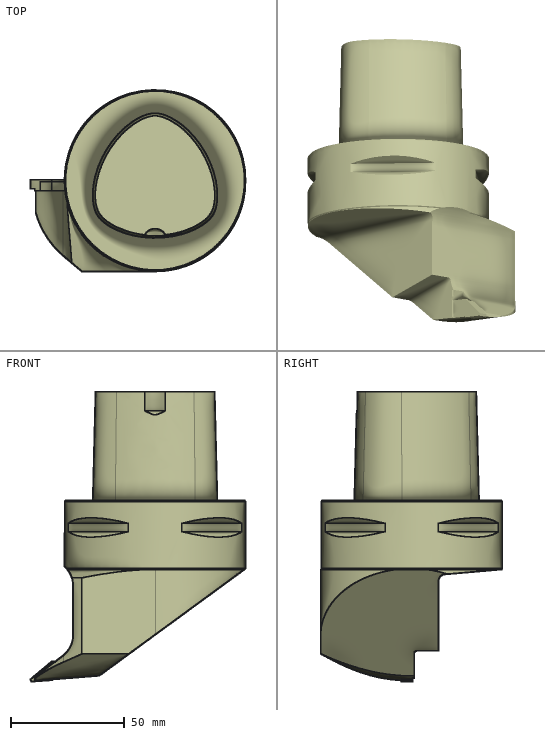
import cadquery as cq
import math


shank_height = 48.0
shank_top_radius = 26.4
shank_taper = 0.025
lobe_height = 2.2
lobe_half_angle = 34
lobe_angles = (90, 210, 330)
shank_base_radius = shank_top_radius + shank_taper * shank_height

notch_diameter = 10.2
notch_depth = 8.3
notch_center_y = -26.4
drill_point_height = 3.0

flange_diameter = 80.0
flange_height = 30.5
flange_chamfer = 0.5
slot_floor_distance = 35.3
slot_floor_height = 3.6
slot_wall_angle = 28
slot_center_z = -11.9
slot_angles = (45, 135, 225, 315)
flange_radius = flange_diameter / 2
flange_bottom = -flange_height

arm_offset = 0.19
arm_side_y = 11.9
flat_distance = flange_radius + arm_offset
flat_end_x = -32.3
facet_end = (-40.5, -33.3)
nose_arc_end_y = -14.1
nose_x = -52.7
overall_bottom = -80.0

shoulder_angle = 18
underside_drop = 2.4
side_fillet = 2.8
front_face_x = -36.2
front_face_top = -37.6
front_face_bottom = -59.4
front_curve_radius = 11.5
nose_slope = 37.3
back_slope = 36.2
back_start_x = 39.4
belly_edge_z = -67.7
belly_slope = 4.5
belly_bottom_at_nose = -79.6

relief_y = 1.2
relief_start_z = -60.3
relief_angle = 12.9
relief_fillet = 1.3
blade_start_x = -37.4

insert_side_y = 0.4
insert_thickness = 5.0
tip_x = -55.0
tip_edge_z = -79.0
tip_heel_x = -54.7
insert_bend = (-45.6, -71.0)
insert_rear = (-36.9, -70.4)
insert_rear_bottom = (-35.8, -71.7)
insert_heel = (-45.5, -79.4)
pocket_wall_top = (-38.3, -65.9)
tip_step_x = -53.1
tip_side_step = 0.9
chip_groove_front_x = -50.5
chip_groove_depth = 0.5
chip_groove_rim = 1.0

reach = 128.0


def lobed_point(radius, lobe_angle, offset):
    """Point of the three-lobed curve where the outward normal is `offset` degrees from a lobe."""
    normal = math.radians(offset)
    across = radius + lobe_height * math.cos(3 * normal)
    along = -3 * lobe_height * math.sin(3 * normal)
    direction = math.radians(lobe_angle + offset)
    return cq.Vector(
        across * math.cos(direction) - along * math.sin(direction),
        across * math.sin(direction) + along * math.cos(direction),
        0,
    )


def lobed_wire(radius, z):
    """Closed lobed outline: one spline over each lobe and one over each side between lobes."""
    spline_steps = 8
    side_end = 360 / len(lobe_angles) - lobe_half_angle
    edges = []
    for lobe_angle in lobe_angles:
        for start, end in ((-lobe_half_angle, lobe_half_angle), (lobe_half_angle, side_end)):
            points = [
                lobed_point(radius, lobe_angle, start + (end - start) * i / spline_steps)
                for i in range(spline_steps + 1)
            ]
            edges.append(cq.Edge.makeSpline(points))
    return cq.Wire.assembleEdges(edges).moved(cq.Location(cq.Vector(0, 0, z)))


def make_shank():
    base = lobed_wire(shank_base_radius, 0)
    top = lobed_wire(shank_top_radius, shank_height)
    shank = cq.Workplane(cq.Solid.makeLoft([base, top], True))
    hole_bottom = shank_height - notch_depth
    notch = (
        cq.Workplane("XZ")
        .moveTo(0, shank_height)
        .lineTo(notch_diameter / 2, shank_height)
        .lineTo(notch_diameter / 2, hole_bottom)
        .lineTo(0, hole_bottom - drill_point_height)
        .close()
        .revolve(360, (0, 0), (0, 1))
        .translate((0, notch_center_y, 0))
    )
    return shank.cut(notch)


def make_slot_cutter(angle):
    """Tangential slot with a flat floor and flaring walls."""
    depth = flange_radius - slot_floor_distance
    half_floor = slot_floor_height / 2
    half_mouth = half_floor + depth * math.tan(math.radians(slot_wall_angle))
    return (
        cq.Workplane("XZ")
        .moveTo(slot_floor_distance, slot_center_z - half_floor)
        .lineTo(flange_radius, slot_center_z - half_mouth)
        .lineTo(flange_radius, slot_center_z + half_mouth)
        .lineTo(slot_floor_distance, slot_center_z + half_floor)
        .close()
        .extrude(flange_radius, both=True)
        .rotate((0, 0, 0), (0, 0, 1), angle)
    )


def make_flange():
    flange = (
        cq.Workplane("XY")
        .circle(flange_radius)
        .extrude(-flange_height)
        .edges("%CIRCLE")
        .chamfer(flange_chamfer)
    )
    for angle in slot_angles:
        flange = flange.cut(make_slot_cutter(angle))
    return flange


def make_arm_blank():
    """Plan outline of the arm, with the round part reaching behind it under the flange."""
    blank_side_y = arm_side_y / 2
    rim_x = -math.sqrt(flange_radius**2 - (blank_side_y + arm_offset) ** 2)
    return (
        cq.Workplane("XY")
        .workplane(offset=overall_bottom)
        .moveTo(0, -flat_distance)
        .lineTo(flat_end_x, -flat_distance)
        .lineTo(*facet_end)
        .tangentArcPoint((nose_x, nose_arc_end_y), relative=False)
        .lineTo(nose_x, blank_side_y)
        .lineTo(rim_x, blank_side_y)
        .threePointArc((flange_radius, -arm_offset), (0, -flat_distance))
        .close()
        .extrude(flange_bottom - overall_bottom)
    )


def make_shoulder_cutter():
    """Conical space above the arm, outside the flange."""
    outer_radius = 2 * flat_distance
    drop = (outer_radius - flat_distance) * math.tan(math.radians(shoulder_angle))
    return (
        cq.Workplane("XZ")
        .moveTo(flat_distance, flange_bottom)
        .lineTo(outer_radius, flange_bottom - drop)
        .lineTo(outer_radius, 0)
        .lineTo(flat_distance, 0)
        .close()
        .revolve(360, (0, 0), (0, 1))
    )


def make_side_cutter():
    """Space beside the arm, below the slightly sloping underside of the flange."""
    return (
        cq.Workplane("YZ")
        .moveTo(arm_side_y, flange_bottom - underside_drop)
        .lineTo(flange_radius, flange_bottom)
        .lineTo(reach, flange_bottom)
        .lineTo(reach, -reach)
        .lineTo(arm_side_y, -reach)
        .close()
        .extrude(reach, both=True)
        .edges("|X")
        .edges("<Y")
        .edges(">Z")
        .fillet(side_fillet)
    )


def make_front_cutter():
    """Space in front of the arm: curve, upright face, curve and sloping nose face."""
    center_x = front_face_x - front_curve_radius

    def curve_point(center_z, angle):
        turn = math.radians(angle)
        return (
            center_x + front_curve_radius * math.cos(turn),
            center_z + front_curve_radius * math.sin(turn),
        )

    upper_turn = math.degrees(math.acos((-flat_distance - center_x) / front_curve_radius))
    lower_turn = nose_slope - 90
    upper_end = curve_point(front_face_top, upper_turn)
    lower_end = curve_point(front_face_bottom, lower_turn)
    slope_drop = (lower_end[0] + reach) * math.tan(math.radians(nose_slope))
    return (
        cq.Workplane("XZ")
        .moveTo(-reach, upper_end[1])
        .lineTo(*upper_end)
        .threePointArc(
            curve_point(front_face_top, upper_turn / 2), (front_face_x, front_face_top)
        )
        .lineTo(front_face_x, front_face_bottom)
        .threePointArc(curve_point(front_face_bottom, lower_turn / 2), lower_end)
        .lineTo(-reach, lower_end[1] - slope_drop)
        .close()
        .extrude(reach, both=True)
    )


def make_back_cutter():
    """Space below the long slope behind the arm."""
    drop = (back_start_x + reach) * math.tan(math.radians(back_slope))
    return (
        cq.Workplane("XZ")
        .moveTo(back_start_x, flange_bottom)
        .lineTo(-reach, flange_bottom - drop)
        .lineTo(reach, flange_bottom - drop)
        .lineTo(reach, flange_bottom)
        .close()
        .extrude(reach, both=True)
    )


def make_belly_cutter():
    """Space below the arched belly, which deepens towards the nose."""

    def section(x):
        bottom = belly_bottom_at_nose + (x - nose_x) * math.tan(math.radians(belly_slope))
        return (
            cq.Workplane("YZ", origin=(x, 0, 0))
            .moveTo(-flat_distance, belly_edge_z)
            .threePointArc((0, bottom), (flat_distance, belly_edge_z))
            .lineTo(flat_distance, -reach)
            .lineTo(-flat_distance, -reach)
            .close()
            .wires()
            .val()
        )

    return cq.Workplane(cq.Solid.makeLoft([section(2 * nose_x), section(0)], True))


def make_relief_cutter():
    """Space beside the insert, below the thick part of the arm."""
    start_x = 2 * nose_x
    slope = math.tan(math.radians(relief_angle))
    start_z = relief_start_z + (front_face_x - start_x) * slope
    relief = (
        cq.Workplane("XZ", origin=(0, relief_y, 0))
        .moveTo(start_x, start_z)
        .lineTo(0, relief_start_z + front_face_x * slope)
        .lineTo(0, -reach)
        .lineTo(start_x, -reach)
        .close()
        .extrude(-flat_distance)
    )
    relief = relief.faces("<Y").edges(">Z").fillet(relief_fillet)
    blade_side = cq.Workplane("XY").box(
        reach, flat_distance, reach, centered=False
    ).translate((blade_start_x - reach, insert_side_y, pocket_wall_top[1] - reach))
    return relief.union(blade_side)


def make_pocket_cutter():
    """Open space above the rear of the insert, closed at the back by a leaning wall."""
    return (
        cq.Workplane("XZ", origin=(0, arm_side_y, 0))
        .moveTo(*insert_bend)
        .lineTo(*insert_rear)
        .lineTo(*pocket_wall_top)
        .lineTo(insert_bend[0], pocket_wall_top[1])
        .close()
        .extrude(arm_side_y - insert_side_y + insert_thickness)
    )


def make_insert_blank():
    """Insert without its narrowed tip and chip groove; also the shape of its seat."""
    return (
        cq.Workplane("XZ", origin=(0, insert_side_y, 0))
        .moveTo(tip_x, tip_edge_z)
        .lineTo(*insert_bend)
        .lineTo(*insert_rear)
        .lineTo(*insert_rear_bottom)
        .lineTo(*insert_heel)
        .lineTo(tip_heel_x, overall_bottom)
        .close()
        .extrude(insert_thickness)
    )


def make_insert():
    outer_y = insert_side_y - insert_thickness
    tip_step = (
        cq.Workplane("XY")
        .box(reach, 2 * tip_side_step, reach)
        .translate((tip_step_x - reach / 2, outer_y, overall_bottom))
    )
    top_slope = (insert_bend[1] - tip_edge_z) / (insert_bend[0] - tip_x)
    groove_front_z = tip_edge_z + (chip_groove_front_x - tip_x) * top_slope
    chip_groove = (
        cq.Workplane("XZ", origin=(0, insert_side_y - chip_groove_rim, 0))
        .moveTo(chip_groove_front_x, groove_front_z + chip_groove_depth)
        .lineTo(chip_groove_front_x, groove_front_z - chip_groove_depth)
        .lineTo(insert_bend[0], insert_bend[1] - chip_groove_depth)
        .lineTo(insert_rear[0], insert_rear[1] - chip_groove_depth)
        .lineTo(insert_rear[0], insert_rear[1] + chip_groove_depth)
        .lineTo(insert_bend[0], insert_bend[1] + chip_groove_depth)
        .close()
        .extrude(insert_thickness)
    )
    return make_insert_blank().cut(tip_step).cut(chip_groove)


def make_holder():
    arm = make_arm_blank()
    arm = arm.cut(make_shoulder_cutter())
    arm = arm.cut(make_side_cutter())
    arm = arm.cut(make_belly_cutter())
    arm = arm.cut(make_relief_cutter())
    arm = arm.cut(make_pocket_cutter())
    body = make_flange().union(arm)
    body = body.cut(make_front_cutter())
    body = body.cut(make_back_cutter())
    return body.union(make_shank()).cut(make_insert_blank())


holder = make_holder()
insert = make_insert()
result = cq.Compound.makeCompound([holder.val(), insert.val()])